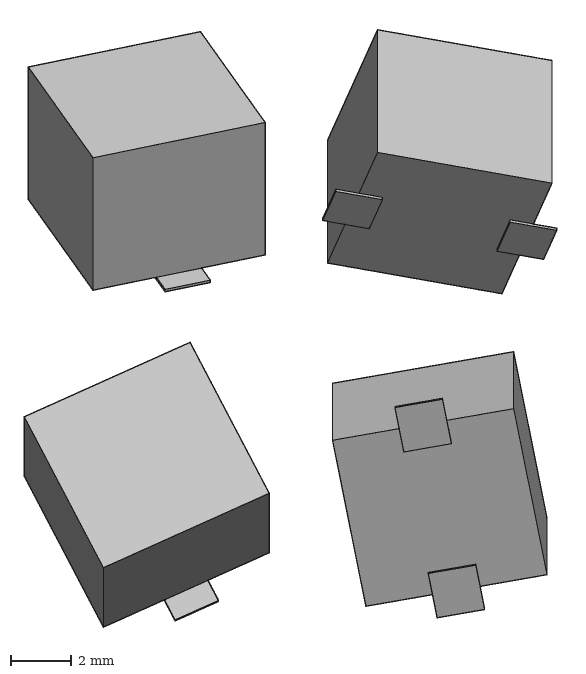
import cadquery as cq

overall_length = 7.6
overall_height = 5.3

housing_length = 6.005
housing_width = 6.1

lead_size = 1.6
lead_thickness = 0.1

housing_height = overall_height - lead_thickness
lead_offset = (overall_length - lead_size) / 2


def make_housing():
    """Plain block standing on top of the leads."""
    return (
        cq.Workplane("XY")
        .workplane(offset=lead_thickness)
        .rect(housing_length, housing_width)
        .extrude(housing_height)
    )


def make_lead(side):
    """Flat square lead; side is -1 or +1 along X."""
    return (
        cq.Workplane("XY")
        .center(side * lead_offset, 0)
        .rect(lead_size, lead_size)
        .extrude(lead_thickness)
    )


housing = make_housing()
leads = [make_lead(side) for side in (-1, 1)]

result = cq.Compound.makeCompound([housing.val(), *[lead.val() for lead in leads]])